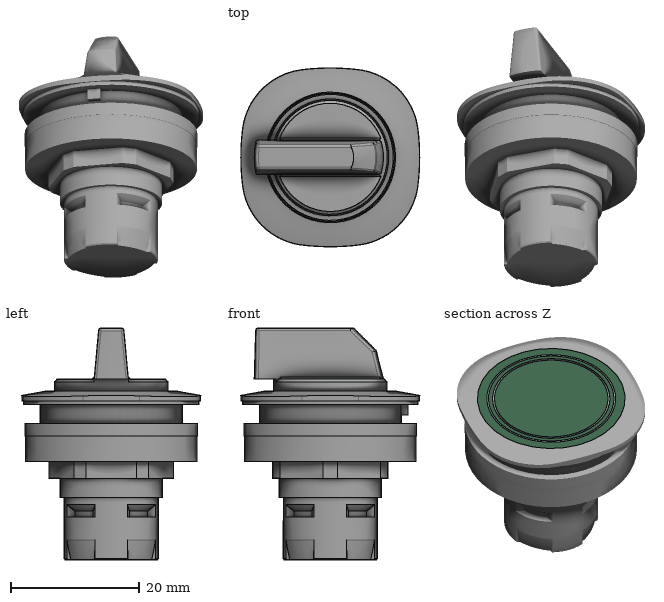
import cadquery as cq
import math


COLLAR_BOTTOM = 9.7
NUT_BOTTOM = 12.7
RING_BOTTOM = 15.33
GASKET_BOTTOM = 19.36
GASKET_TOP = 21.3
FLANGE_BOTTOM = 24.23
FLANGE_RIM_BOTTOM = 24.8
FLANGE_RIM_TOP = 25.67
FLANGE_TOP = 26.35
DISC_TOP = 28.2
TOTAL_HEIGHT = 36.2

BARREL_DIAMETER = 14.7
BARREL_END_DIAMETER = 14.43
COLLAR_DIAMETER = 16.0
RING_DIAMETER = 26.86
GASKET_DIAMETER = 27.0
GASKET_BORE = 25.0
BODY_DIAMETER = 22.2
FLANGE_STEP_DIAMETER = 27.4
DISC_DIAMETER = 17.8
BARREL_CHAMFER_HEIGHT = 0.2

LATCH_COUNT = 4
LATCH_FIRST_ANGLE = 45.0
LATCH_WIDTH = 6.2
WINDOW_FLOOR_DIAMETER = 12.7
WINDOW_FLOOR_WIDTH = 4.0
WINDOW_BOTTOM = 6.64
WINDOW_INNER_TOP = 7.6
NOTCH_HEIGHT = 3.05
NOTCH_DEPTH = 0.68
NOTCH_BOTTOM_RADIUS = 10.0
NOTCH_SIDE_TAPER = 1.5

NUT_ACROSS_FLATS = 18.0
NUT_ACROSS_CORNERS = 19.5

FLANGE_WIDTH = 27.96
FLANGE_SIDE_RADIUS = 36.0
FLANGE_SIDE_HALF_LENGTH = 4.4

LIP_DIAMETER = 20.4
LIP_GROOVE_OUTER_DIAMETER = 20.05
LIP_GROOVE_INNER_DIAMETER = 19.67
LIP_GROOVE_DEPTH = 0.3
CLEARANCE_DIAMETER = 18.25
CLEARANCE_DEPTH = 0.5

TAB_REACH = 12.16
TAB_WIDTH = 2.0
TAB_BOTTOM = 22.6

DISC_CHAMFER = 0.45
HANDLE_BASE_WIDTH = 5.36
HANDLE_TOP_WIDTH = 3.9
HANDLE_BACK_BASE_RADIUS = 11.88
HANDLE_BACK_TOP_RADIUS = 11.65
HANDLE_FRONT_BASE_RADIUS = 8.35
HANDLE_SHOULDER_RADIUS = 7.2
HANDLE_SHOULDER_HEIGHT = 32.65
HANDLE_FRONT_TOP_RADIUS = 3.65
HANDLE_FILLET = 0.45
BEAD_SIZE = 0.33

MARGIN = 1.0


def cylinder(diameter, bottom, top):
    return cq.Workplane("XY").workplane(offset=bottom).circle(diameter / 2).extrude(top - bottom)


def revolve_profile(points):
    """Revolve a closed (radius, height) outline about Z."""
    return cq.Workplane("XZ").polyline(points).close().revolve(360, (0, 0), (0, 1))


def around_barrel(cutter):
    """Copies of a cutter made on the +X side, turned to each latch position."""
    copies = cq.Workplane("XY")
    for index in range(LATCH_COUNT):
        angle = LATCH_FIRST_ANGLE + index * 360 / LATCH_COUNT
        copies = copies.add(cutter.rotate((0, 0, 0), (0, 0, 1), angle))
    return copies.combine()


def latch_wedge(side_taper, bottom, top):
    """Prism on the +X side as wide as a latch at the barrel surface and narrower inside it.

    side_taper is the half width lost per millimetre toward the axis.
    """
    half_width = LATCH_WIDTH / 2
    surface_x = math.sqrt((BARREL_DIAMETER / 2) ** 2 - half_width**2)
    inner_x = surface_x - MARGIN
    outer_x = BARREL_DIAMETER / 2 + MARGIN
    inner_half = half_width - MARGIN * side_taper
    outline = [
        (inner_x, -inner_half),
        (surface_x, -half_width),
        (outer_x, -half_width),
        (outer_x, half_width),
        (surface_x, half_width),
        (inner_x, inner_half),
    ]
    return cq.Workplane("XY").workplane(offset=bottom).polyline(outline).close().extrude(top - bottom)


def latch_windows():
    """Windows with a flat sill, a 45 degree conical top and splayed sides."""
    half_width = LATCH_WIDTH / 2
    floor_radius = WINDOW_FLOOR_DIAMETER / 2
    floor_half = WINDOW_FLOOR_WIDTH / 2
    surface_x = math.sqrt((BARREL_DIAMETER / 2) ** 2 - half_width**2)
    floor_x = math.sqrt(floor_radius**2 - floor_half**2)
    side_taper = (half_width - floor_half) / (surface_x - floor_x)
    outer_radius = BARREL_DIAMETER / 2 + MARGIN / 2
    outer_top = WINDOW_INNER_TOP + outer_radius - floor_radius
    band = revolve_profile(
        [
            (floor_radius, WINDOW_BOTTOM),
            (outer_radius, WINDOW_BOTTOM),
            (outer_radius, outer_top),
            (floor_radius, WINDOW_INNER_TOP),
        ]
    )
    return around_barrel(latch_wedge(side_taper, WINDOW_BOTTOM, outer_top).intersect(band))


def bottom_notches():
    """Notches that deepen toward the bottom, their face flattening from the barrel's curve."""
    bottom_offset = NOTCH_BOTTOM_RADIUS + NOTCH_DEPTH - BARREL_DIAMETER / 2
    core = (
        cq.Workplane("XY")
        .center(bottom_offset, 0)
        .circle(NOTCH_BOTTOM_RADIUS)
        .workplane(offset=NOTCH_HEIGHT)
        .center(-bottom_offset, 0)
        .circle(BARREL_DIAMETER / 2)
        .loft(ruled=True)
        .rotate((0, 0, 0), (0, 0, 1), 180)
    )
    return around_barrel(latch_wedge(NOTCH_SIDE_TAPER, 0, NOTCH_HEIGHT).cut(core))


def make_barrel():
    radius = BARREL_DIAMETER / 2
    barrel = revolve_profile(
        [
            (0, 0),
            (BARREL_END_DIAMETER / 2, 0),
            (radius, BARREL_CHAMFER_HEIGHT),
            (radius, COLLAR_BOTTOM),
            (0, COLLAR_BOTTOM),
        ]
    )
    return barrel.cut(latch_windows()).cut(bottom_notches())


def hexagon(across_flats, flat_angle):
    """Hexagonal prism of the nut's height, with one flat facing flat_angle from +X."""
    corner_diameter = across_flats / math.cos(math.pi / 6)
    prism = (
        cq.Workplane("XY")
        .workplane(offset=NUT_BOTTOM)
        .polygon(6, corner_diameter)
        .extrude(RING_BOTTOM - NUT_BOTTOM)
    )
    return prism.rotate((0, 0, 0), (0, 0, 1), flat_angle - 30)


def make_nut():
    """Hexagon with flats facing +X and -X, its corners cut off by a second hexagon."""
    return hexagon(NUT_ACROSS_FLATS, 0).intersect(hexagon(NUT_ACROSS_CORNERS, 30))


def make_body():
    collar = cylinder(COLLAR_DIAMETER, COLLAR_BOTTOM, NUT_BOTTOM)
    ring = cylinder(RING_DIAMETER, RING_BOTTOM, GASKET_BOTTOM)
    gasket = cylinder(GASKET_DIAMETER, GASKET_BOTTOM, GASKET_TOP)
    gasket = gasket.cut(cylinder(GASKET_BORE, GASKET_BOTTOM, GASKET_TOP))
    neck = cylinder(BODY_DIAMETER, GASKET_BOTTOM, FLANGE_BOTTOM)
    return collar.union(make_nut()).union(ring).union(gasket).union(neck)


def make_tab():
    return (
        cq.Workplane("XY")
        .workplane(offset=TAB_BOTTOM)
        .rect(TAB_REACH, TAB_WIDTH)
        .extrude(FLANGE_BOTTOM - TAB_BOTTOM)
        .translate((TAB_REACH / 2, 0, 0))
    )


def flange_outline():
    """Rounded square drawn side arc by corner arc, counterclockwise from the +X side."""
    half = FLANGE_WIDTH / 2
    side_center = half - FLANGE_SIDE_RADIUS
    end_angle = math.asin(FLANGE_SIDE_HALF_LENGTH / FLANGE_SIDE_RADIUS)
    end_x = side_center + FLANGE_SIDE_RADIUS * math.cos(end_angle)
    end_y = FLANGE_SIDE_HALF_LENGTH
    corner_radius = (end_x - end_y) / (math.cos(end_angle) - math.sin(end_angle))
    corner_center = end_x - corner_radius * math.cos(end_angle)
    corner_reach = corner_center * math.sqrt(2) + corner_radius

    def polar(radius, degrees):
        angle = math.radians(degrees)
        return (radius * math.cos(angle), radius * math.sin(angle))

    end_radius = math.hypot(end_x, end_y)
    end_bearing = math.degrees(math.atan2(end_y, end_x))
    outline = cq.Workplane("XY").workplane(offset=FLANGE_RIM_BOTTOM).moveTo(end_x, -end_y)
    for bearing in (0, 90, 180, 270):
        outline = outline.threePointArc(polar(half, bearing), polar(end_radius, bearing + end_bearing))
        next_start = polar(end_radius, bearing + 90 - end_bearing)
        outline = outline.threePointArc(polar(corner_reach, bearing + 45), next_start)
    return outline.close()


def make_flange():
    half = FLANGE_WIDTH / 2
    lip_radius = LIP_DIAMETER / 2
    groove_outer_radius = LIP_GROOVE_OUTER_DIAMETER / 2
    groove_inner_radius = LIP_GROOVE_INNER_DIAMETER / 2
    groove_bottom = FLANGE_TOP - LIP_GROOVE_DEPTH
    slope = (FLANGE_TOP - FLANGE_RIM_TOP) / (half - lip_radius)
    cone_radius = half * math.sqrt(2)
    cone_edge = FLANGE_TOP - slope * (cone_radius - lip_radius)
    cone = revolve_profile(
        [
            (0, FLANGE_RIM_BOTTOM),
            (cone_radius, FLANGE_RIM_BOTTOM),
            (cone_radius, cone_edge),
            (lip_radius, FLANGE_TOP),
            (0, FLANGE_TOP),
        ]
    )
    plate = flange_outline().extrude(FLANGE_TOP - FLANGE_RIM_BOTTOM).intersect(cone)
    step = cylinder(FLANGE_STEP_DIAMETER, FLANGE_BOTTOM, FLANGE_RIM_BOTTOM)
    lip_groove = revolve_profile(
        [
            (groove_inner_radius, FLANGE_TOP),
            (groove_inner_radius, groove_bottom),
            (groove_outer_radius, groove_bottom),
            (groove_outer_radius, FLANGE_TOP - (lip_radius - groove_outer_radius)),
            (lip_radius, FLANGE_TOP),
        ]
    )
    clearance = cylinder(CLEARANCE_DIAMETER, FLANGE_TOP - CLEARANCE_DEPTH, FLANGE_TOP)
    return plate.union(step).cut(lip_groove).cut(clearance)


def make_disc():
    """Disc with a chamfered rim, left at full radius below the handle's overhang."""
    radius = DISC_DIAMETER / 2
    bottom = FLANGE_TOP - CLEARANCE_DEPTH
    disc = cylinder(DISC_DIAMETER, bottom, DISC_TOP).faces(">Z").edges().chamfer(DISC_CHAMFER)
    leg = (
        cq.Workplane("XY")
        .workplane(offset=bottom)
        .rect(radius, HANDLE_BASE_WIDTH)
        .extrude(DISC_TOP - bottom)
        .translate((-radius / 2, 0, 0))
        .intersect(cylinder(DISC_DIAMETER, bottom, DISC_TOP))
    )
    return disc.union(leg)


def make_bead():
    """Sloped bead along both sides of the handle's foot, cut off in line with the disc chamfer."""
    radius = DISC_DIAMETER / 2
    bead_top = DISC_TOP + BEAD_SIZE
    chamfer_start = DISC_TOP - DISC_CHAMFER
    bead_limit = revolve_profile(
        [
            (0, chamfer_start),
            (radius, chamfer_start),
            (radius - DISC_CHAMFER - BEAD_SIZE, bead_top),
            (0, bead_top),
        ]
    )
    half_base = HANDLE_BASE_WIDTH / 2
    bead_foot = half_base + BEAD_SIZE
    return (
        cq.Workplane("YZ")
        .polyline(
            [
                (-bead_foot, chamfer_start),
                (-bead_foot, DISC_TOP),
                (-half_base, bead_top),
                (half_base, bead_top),
                (bead_foot, DISC_TOP),
                (bead_foot, chamfer_start),
            ]
        )
        .close()
        .extrude(radius, both=True)
        .intersect(bead_limit)
    )


def make_handle():
    """Tapered blade whose ends are turned about Z, sloping down in two steps toward +X."""
    half_base = HANDLE_BASE_WIDTH / 2
    half_top = HANDLE_TOP_WIDTH / 2
    blade = (
        cq.Workplane("YZ")
        .polyline(
            [
                (-half_base, DISC_TOP),
                (half_base, DISC_TOP),
                (half_top, TOTAL_HEIGHT),
                (-half_top, TOTAL_HEIGHT),
            ]
        )
        .close()
        .extrude(FLANGE_WIDTH / 2, both=True)
    )
    back = revolve_profile(
        [
            (0, DISC_TOP),
            (HANDLE_BACK_BASE_RADIUS, DISC_TOP),
            (HANDLE_BACK_TOP_RADIUS, TOTAL_HEIGHT),
            (0, TOTAL_HEIGHT),
        ]
    )
    front = revolve_profile(
        [
            (0, DISC_TOP),
            (HANDLE_FRONT_BASE_RADIUS, DISC_TOP),
            (HANDLE_SHOULDER_RADIUS, HANDLE_SHOULDER_HEIGHT),
            (HANDLE_FRONT_TOP_RADIUS, TOTAL_HEIGHT),
            (0, TOTAL_HEIGHT),
        ]
    )
    back_side = cq.Workplane("XY").box(FLANGE_WIDTH, FLANGE_WIDTH, 2 * TOTAL_HEIGHT)
    back_side = back_side.translate((-FLANGE_WIDTH / 2, 0, 0))
    ends = back.intersect(back_side).union(front.cut(back_side))
    handle = blade.intersect(ends)

    sharp_edge = cq.selectors.NearestToPointSelector((HANDLE_FRONT_TOP_RADIUS, 0, TOTAL_HEIGHT))
    rounded_edges = cq.StringSyntaxSelector("not(<Z)") - sharp_edge
    return handle.edges(rounded_edges).fillet(HANDLE_FILLET)


result = (
    make_barrel()
    .union(make_body())
    .union(make_tab())
    .union(make_flange())
    .union(make_disc())
    .union(make_handle())
    .union(make_bead())
)